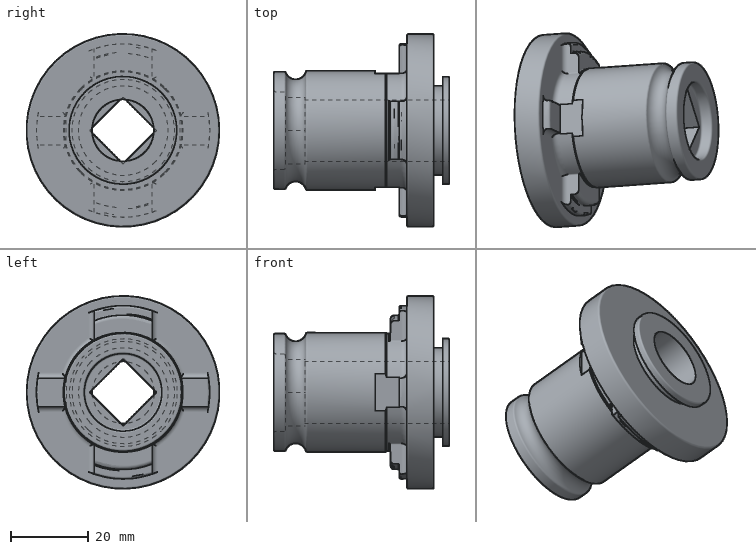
import math
import cadquery as cq

TOLERANCE = 0.01

socket_depth = 3.0
square_end_x = 8.0
flat_start_x = 26.25
body_taper_x = 28.95
body_end_x = 29.3
step_face_x = 30.25
lug_face_x = 32.5
flange_start_x = 34.5
flange_end_x = 41.5
disc_start_x = 43.75
overall_length = 45.5

nose_radius = 30.5 / 2
body_radius = 31.0 / 2
neck_radius = 30.5 / 2
flange_radius = 50.0 / 2
tail_radius = 23.2 / 2
disc_radius = 27.9 / 2
edge_fillet = 0.5
disc_edge_fillet = 0.4
flange_root_fillet = 1.4

groove_x = 5.7
groove_radius = 2.75
groove_floor_radius = 13.25
groove_centre_radius = groove_floor_radius + groove_radius
groove_edge_fillet = 0.5

socket_radius = 20.1 / 2
bore_radius = 16.0 / 2
square_size = 12.2

lug_radius = 44.9 / 2
lug_edge_fillet = 0.6
wide_lug_width = 15.0
narrow_lug_width = 7.4
step_radius = 20.0
step_edge_fillet = 1.0
step_neck_fillet = 0.4
step_base_fillet = 0.3

flat_distance = 14.75
flat_cutter_depth = 2.0


def turned(start_x, end_x, radius):
    """Cylinder about the X axis."""
    return cq.Workplane("YZ").workplane(offset=start_x).circle(radius).extrude(end_x - start_x)


def round_ring(solid, x, radius, fillet):
    """Fillet the circular edges of the given radius that lie at station x."""
    def is_ring(edge):
        if edge.geomType() != "CIRCLE":
            return False
        return abs(edge.arcCenter().x - x) < TOLERANCE and abs(edge.radius() - radius) < TOLERANCE

    return solid.edges().filter(is_ring).fillet(fillet)


def half_chord(radius, distance):
    """Half the chord of a circle at the given distance from its centre."""
    return math.sqrt(radius**2 - distance**2)


def make_body():
    """Nose, groove and main barrel, with a short taper down to the neck."""
    nose_half_width = half_chord(groove_radius, groove_centre_radius - nose_radius)
    body_half_width = half_chord(groove_radius, groove_centre_radius - body_radius)
    groove_front_x = groove_x - nose_half_width
    groove_rear_x = groove_x + body_half_width
    body = (
        cq.Workplane("XY")
        .lineTo(0, nose_radius)
        .lineTo(groove_front_x, nose_radius)
        .threePointArc((groove_x, groove_floor_radius), (groove_rear_x, body_radius))
        .lineTo(body_taper_x, body_radius)
        .lineTo(body_end_x, neck_radius)
        .lineTo(body_end_x, 0)
        .close()
        .revolve(360, (0, 0), (1, 0))
    )
    body = round_ring(body, 0, nose_radius, edge_fillet)
    body = round_ring(body, groove_front_x, nose_radius, groove_edge_fillet)
    return round_ring(body, groove_rear_x, body_radius, groove_edge_fillet)


def make_stepped_neck():
    """Neck with the raised step of each wide lug, blended into the neck."""
    neck = turned(body_end_x, flange_start_x, neck_radius)
    base_fillet_x = lug_face_x - step_base_fillet
    base_fillet_radius = step_radius + step_base_fillet
    ring = (
        cq.Workplane("XY")
        .moveTo(step_face_x, 0)
        .lineTo(step_face_x, step_radius)
        .lineTo(base_fillet_x, step_radius)
        .radiusArc((lug_face_x, base_fillet_radius), -step_base_fillet)
        .lineTo(flange_start_x, base_fillet_radius)
        .lineTo(flange_start_x, 0)
        .close()
        .revolve(360, (0, 0), (1, 0))
    )
    ring = round_ring(ring, step_face_x, step_radius, step_edge_fillet)
    slab = cq.Workplane("XY").box(2 * overall_length, wide_lug_width, 2 * flange_radius)
    neck = neck.union(ring.intersect(slab))

    def is_step_root(edge):
        middle = edge.positionAt(0.5)
        on_neck = abs(math.hypot(middle.y, middle.z) - neck_radius) < TOLERANCE
        beside_step = abs(abs(middle.y) - wide_lug_width / 2) < TOLERANCE
        on_step_face = abs(middle.x - step_face_x) < TOLERANCE
        return on_neck and (beside_step or on_step_face)

    return neck.edges().filter(is_step_root).fillet(step_neck_fillet)


def make_flange():
    """Flange, with a concave blend at the neck, and the grooved tail behind it."""
    flange = turned(flange_start_x, flange_end_x, flange_radius)
    for x in (flange_start_x, flange_end_x):
        flange = round_ring(flange, x, flange_radius, edge_fillet)
    root_start_x = flange_start_x - flange_root_fillet
    root_blend = (
        cq.Workplane("XY")
        .moveTo(root_start_x, 0)
        .lineTo(root_start_x, neck_radius)
        .radiusArc((flange_start_x, neck_radius + flange_root_fillet), -flange_root_fillet)
        .lineTo(flange_start_x, 0)
        .close()
        .revolve(360, (0, 0), (1, 0))
    )
    tail = turned(flange_end_x, disc_start_x, tail_radius)
    disc = turned(disc_start_x, overall_length, disc_radius)
    disc = round_ring(disc, overall_length, disc_radius, disc_edge_fillet)
    return flange.union(root_blend).union(tail).union(disc)


def make_lug_pair(width):
    """Two opposite lugs along Z, whose sides flare out into the flange face."""
    ring = turned(lug_face_x, flange_start_x, lug_radius)
    ring = round_ring(ring, lug_face_x, lug_radius, lug_edge_fillet)
    half_width = width / 2
    flare_start_x = flange_start_x - flange_root_fillet
    flared_half_width = half_width + flange_root_fillet
    section = (
        cq.Workplane("XY")
        .moveTo(lug_face_x, -half_width)
        .lineTo(lug_face_x, half_width)
        .lineTo(flare_start_x, half_width)
        .radiusArc((flange_start_x, flared_half_width), -flange_root_fillet)
        .lineTo(flange_start_x, -flared_half_width)
        .radiusArc((flare_start_x, -half_width), -flange_root_fillet)
        .close()
        .extrude(lug_radius, both=True)
    )
    return ring.intersect(section)


def cut_side_flats(solid):
    """Flat on each Y side, from the rear of the barrel to the lug face."""
    flat_length = lug_face_x - flat_start_x
    flat_middle_x = flat_start_x + flat_length / 2
    cutter_centre_y = flat_distance + flat_cutter_depth / 2
    for side in (1, -1):
        cutter = cq.Workplane("XY").box(flat_length, flat_cutter_depth, body_radius)
        solid = solid.cut(cutter.translate((flat_middle_x, side * cutter_centre_y, 0)))
    return solid


def make_opening():
    """Round socket, square drive standing on its corner, and the bore behind it."""
    socket = turned(0, socket_depth, socket_radius)
    socket = round_ring(socket, socket_depth, socket_radius, edge_fillet)
    square = (
        cq.Workplane("YZ")
        .rect(square_size, square_size)
        .extrude(square_end_x)
        .rotate((0, 0, 0), (1, 0, 0), 45)
    )
    bore = turned(square_end_x, overall_length, bore_radius)
    return socket.union(square).union(bore)


barrel = cut_side_flats(make_body().union(make_stepped_neck()))
flange = make_flange()
flange = flange.union(make_lug_pair(wide_lug_width))
flange = flange.union(make_lug_pair(narrow_lug_width).rotate((0, 0, 0), (1, 0, 0), 90))
part = barrel.union(flange).cut(make_opening())
result = round_ring(part, 0, socket_radius, edge_fillet)